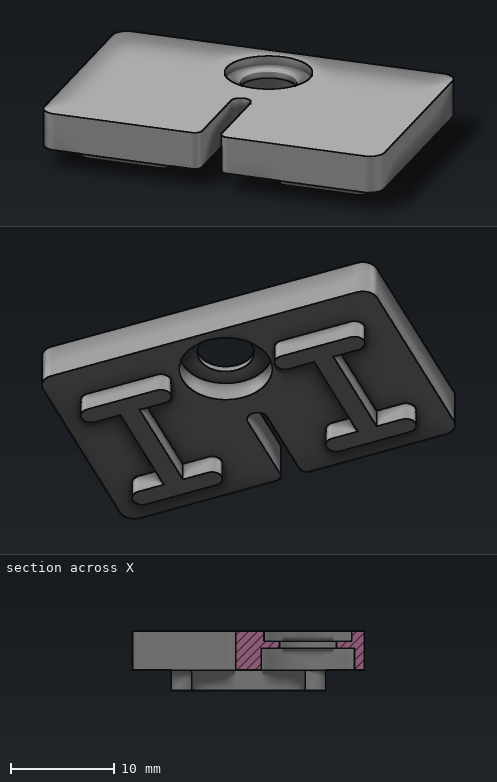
import cadquery as cq
import math

plate_length = 35.0
plate_width = 22.5
plate_thickness = 3.8
plate_corner_radius = 1.5

slot_width = 2.0
slot_depth = 10.0
slot_mouth_radius = 0.8

hole_y = 5.75
lip_hole_diameter = 5.5
upper_counterbore_diameter = 8.5
lower_counterbore_diameter = 9.0
step_fillet_radius = 0.1
upper_counterbore_depth = 1.0
lip_thickness = 0.7

foot_height = 2.0
foot_spacing = 20.3
foot_length = 15.0
flange_length = 9.3
flange_width = 2.0
web_width = 2.0

front_edge_y = -plate_width / 2


def make_plate():
    """Rounded plate resting on Z = 0."""
    plate = cq.Workplane("XY").box(
        plate_length, plate_width, plate_thickness, centered=(True, True, False)
    )
    return plate.edges("|Z").fillet(plate_corner_radius)


def make_slot_cutter():
    """Slot with a round inner end and a mouth rounded by a fillet on each side."""
    half_width = slot_width / 2
    mouth_half_width = half_width + slot_mouth_radius
    mouth_top_y = front_edge_y + slot_mouth_radius
    slot_end_y = front_edge_y + slot_depth
    round_start_y = slot_end_y - half_width
    mouth_arc_offset = slot_mouth_radius * math.cos(math.radians(45))
    mouth_mid_x = mouth_half_width - mouth_arc_offset
    mouth_mid_y = mouth_top_y - mouth_arc_offset
    return (
        cq.Workplane("XY")
        .moveTo(-mouth_half_width, front_edge_y)
        .threePointArc((-mouth_mid_x, mouth_mid_y), (-half_width, mouth_top_y))
        .lineTo(-half_width, round_start_y)
        .threePointArc((0, slot_end_y), (half_width, round_start_y))
        .lineTo(half_width, mouth_top_y)
        .threePointArc((mouth_mid_x, mouth_mid_y), (mouth_half_width, front_edge_y))
        .close()
        .extrude(plate_thickness)
    )


def make_hole_cutter():
    """Stepped hole, revolved from the half profile of its bore.

    A small fillet runs around the floor of the upper counterbore, and the top edge of the lip
    is rounded by the same radius.
    """
    lip_top_z = plate_thickness - upper_counterbore_depth
    lip_bottom_z = lip_top_z - lip_thickness
    lip_radius = lip_hole_diameter / 2
    upper_radius = upper_counterbore_diameter / 2
    lower_radius = lower_counterbore_diameter / 2
    return (
        cq.Workplane("XZ")
        .lineTo(lower_radius, 0)
        .lineTo(lower_radius, lip_bottom_z)
        .lineTo(lip_radius, lip_bottom_z)
        .lineTo(lip_radius, lip_top_z - step_fillet_radius)
        .tangentArcPoint((step_fillet_radius, step_fillet_radius))
        .lineTo(upper_radius - step_fillet_radius, lip_top_z)
        .tangentArcPoint((step_fillet_radius, step_fillet_radius))
        .lineTo(upper_radius, plate_thickness)
        .lineTo(0, plate_thickness)
        .close()
        .revolve(360, (0, 0), (0, 1))
        .translate((0, hole_y, 0))
    )


def make_foot(centre_x):
    """I-shaped foot: a web along Y with a round-ended flange at each end."""
    flange_offset_y = (foot_length - flange_width) / 2
    base = cq.Workplane("XY").center(centre_x, 0)
    web = base.rect(web_width, 2 * flange_offset_y).extrude(-foot_height)
    flanges = (
        base.pushPoints([(0, -flange_offset_y), (0, flange_offset_y)])
        .slot2D(flange_length, flange_width)
        .extrude(-foot_height)
    )
    return web.union(flanges)


result = make_plate().cut(make_slot_cutter()).cut(make_hole_cutter())
for side in (-1, 1):
    result = result.union(make_foot(side * foot_spacing / 2))